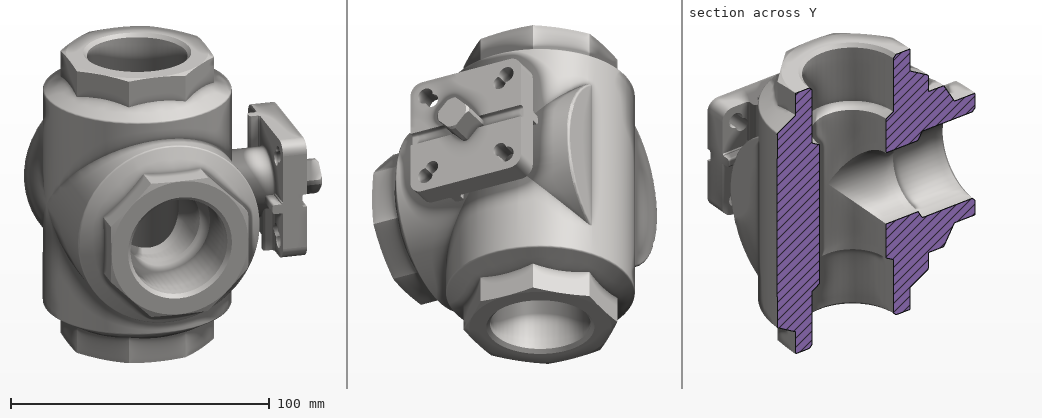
import cadquery as cq
import math


body_radius = 73.0 / 2
port_reach = 59.0
shoulder_height = 43.9
shoulder_angle = 30.0
shoulder_round = 1.0
back_reach = 32.0
back_round = 1.0

octagon_flats = 55.2
octagon_sides = 8
crown_radius = 27.5
crown_angle = 15.0

bore_radius = 32.0 / 2
socket_radius = 38.9 / 2
socket_depth = 25.5
socket_chamfer = 1.4
socket_floor_slope = 30.0

neck_radius = 27.0 / 2
neck_fillet = 0.8
flange_size = 48.4
flange_corner = 5.0
flange_bottom = 51.6
flange_top = 61.2
outer_hole_pitch = 50.0
outer_hole_diameter = 6.5
inner_hole_pitch = 42.0
inner_hole_diameter = 5.5
groove_width = 5.1
groove_depth = 1.9
groove_round = 0.8

rib_width = 3.8
rib_height = 4.1
rib_tip_round = 1.0
rib_root_fillet = 0.6
side_rib_offset = 2.5
end_rib_offset = 9.8

overall_depth = 109.0
stem_top = overall_depth - body_radius
stem_flats = 11.1
stem_diameter = 13.9
stem_chamfer = 0.8


def opposite(shape):
    """Turn a shape built along +Z so that it points along -Z."""
    return shape.rotate((0, 0, 0), (1, 0, 0), 180)


def along_branch(shape):
    """Turn a shape built along +Z so that it points along +X."""
    return shape.rotate((0, 0, 0), (0, 1, 0), 90)


def port_solid():
    """One port along +Z: half cylinder, rounded conical shoulder and octagonal end."""
    cone_height = (body_radius - bore_radius) * math.tan(math.radians(shoulder_angle))
    barrel = (
        cq.Workplane("XZ")
        .lineTo(body_radius, 0)
        .lineTo(body_radius, shoulder_height)
        .lineTo(bore_radius, shoulder_height + cone_height)
        .lineTo(0, shoulder_height + cone_height)
        .close()
        .revolve(360, (0, 0, 0), (0, 1, 0))
        .edges(cq.selectors.RadiusNthSelector(-1))
        .edges(">Z")
        .fillet(shoulder_round)
    )
    octagon = (
        cq.Workplane("XY")
        .polygon(octagon_sides, octagon_flats, circumscribed=True)
        .extrude(port_reach)
    )
    crown_drop = (body_radius - crown_radius) * math.tan(math.radians(crown_angle))
    crown = (
        cq.Workplane("XZ")
        .lineTo(body_radius, 0)
        .lineTo(body_radius, port_reach - crown_drop)
        .lineTo(crown_radius, port_reach)
        .lineTo(0, port_reach)
        .close()
        .revolve(360, (0, 0, 0), (0, 1, 0))
    )
    return barrel.union(octagon.intersect(crown))


def port_cavity():
    """Bore, socket and entry chamfer of one port along +Z."""
    socket_floor = port_reach - socket_depth
    floor_drop = (socket_radius - bore_radius) * math.tan(math.radians(socket_floor_slope))
    return (
        cq.Workplane("XZ")
        .lineTo(bore_radius, 0)
        .lineTo(bore_radius, socket_floor - floor_drop)
        .lineTo(socket_radius, socket_floor)
        .lineTo(socket_radius, port_reach - socket_chamfer)
        .lineTo(socket_radius + socket_chamfer, port_reach)
        .lineTo(0, port_reach)
        .close()
        .revolve(360, (0, 0, 0), (0, 1, 0))
    )


def closed_end():
    """Short cylinder toward -X with a rounded flat end."""
    return (
        cq.Workplane("YZ")
        .circle(body_radius)
        .extrude(-back_reach)
        .faces("<X")
        .edges()
        .fillet(back_round)
    )


def stem_axis_plane(height):
    """Plane across the stem axis, facing +Y, with local x along +X and local y along -Z."""
    return cq.Workplane(cq.Plane((0, height, 0), xDir=(1, 0, 0), normal=(0, 1, 0)))


def rib(offset, fillet_sides):
    """Rib under the flange running outward along -X, shifted by offset along +Z.

    fillet_sides lists the sides (+1 or -1 along Z) with a concave fillet at the root.
    """
    half = rib_width / 2
    length = flange_size / 2
    tip = flange_bottom - rib_height
    bar = (
        cq.Workplane("XY")
        .box(length, rib_height, rib_width, centered=(False, False, True))
        .translate((-length, tip, offset))
        .faces("<Y")
        .edges("|X")
        .fillet(rib_tip_round)
    )
    for side in fillet_sides:
        root = (
            cq.Workplane("ZY", origin=(0, flange_bottom, offset + side * half))
            .lineTo(0, -rib_root_fillet)
            .radiusArc((side * rib_root_fillet, 0), -side * rib_root_fillet)
            .close()
            .extrude(length)
        )
        bar = bar.union(root)
    return bar


def flange():
    """Square mounting flange with ribs below, a groove across its top and bolt holes through it.

    Opposite ribs are offset to opposite sides of the stem axis. The -X and +X ribs have a root
    fillet on their +Z side only, the other two on both sides.
    """
    plate = (
        stem_axis_plane(flange_bottom)
        .rect(flange_size, flange_size)
        .extrude(flange_top - flange_bottom)
        .edges("|Y")
        .fillet(flange_corner)
    )
    left_rib = rib(side_rib_offset, (1,))
    right_rib = rib(-side_rib_offset, (1,)).mirror("YZ")
    upper_rib = rib(-end_rib_offset, (1, -1)).rotate((0, 0, 0), (0, 1, 0), 90)
    lower_rib = upper_rib.rotate((0, 0, 0), (0, 1, 0), 180)
    for bar in (left_rib, right_rib, upper_rib, lower_rib):
        plate = plate.union(bar)

    groove = (
        cq.Workplane("XY")
        .box(flange_size, groove_depth, groove_width, centered=(True, False, True))
        .translate((0, flange_top - groove_depth, 0))
        .faces("<Y")
        .edges("|X")
        .fillet(groove_round)
    )
    return plate.cut(groove).cut(bolt_holes())


def bolt_holes():
    """Two overlapping patterns of four holes on the flange diagonals, cleared down past the ribs."""
    first_hole_angle = 45
    holes_per_pattern = 4
    holes = cq.Workplane("XY")
    bolt_patterns = (
        (outer_hole_pitch, outer_hole_diameter),
        (inner_hole_pitch, inner_hole_diameter),
    )
    for pitch, diameter in bolt_patterns:
        pattern = (
            stem_axis_plane(flange_bottom - rib_height)
            .polarArray(pitch / 2, first_hole_angle, 360, holes_per_pattern)
            .circle(diameter / 2)
            .extrude(flange_top - flange_bottom + rib_height)
        )
        holes = holes.add(pattern)
    return holes.combine()


def neck():
    """Round neck from the body axis to the flange, with a concave fillet under the flange."""
    return (
        cq.Workplane("XY")
        .lineTo(neck_radius, 0)
        .lineTo(neck_radius, flange_bottom - neck_fillet)
        .radiusArc((neck_radius + neck_fillet, flange_bottom), neck_fillet)
        .lineTo(0, flange_bottom)
        .close()
        .revolve(360, (0, 0, 0), (0, 1, 0))
    )


def stem():
    """Square drive end standing on edge, its corners turned and chamfered at the tip."""
    length = stem_top - flange_bottom
    turned = (
        stem_axis_plane(flange_bottom)
        .circle(stem_diameter / 2)
        .extrude(length)
        .faces(">Y")
        .chamfer(stem_chamfer)
    )
    square = (
        stem_axis_plane(flange_bottom)
        .rect(stem_flats, stem_flats)
        .extrude(length)
        .rotate((0, 0, 0), (0, 1, 0), 45)
    )
    return turned.intersect(square)


port = port_solid()
body = port.union(opposite(port)).union(along_branch(port)).union(closed_end()).union(neck())

cavity = port_cavity()
body = body.cut(cavity).cut(opposite(cavity)).cut(along_branch(cavity))

result = body.union(flange()).union(stem())